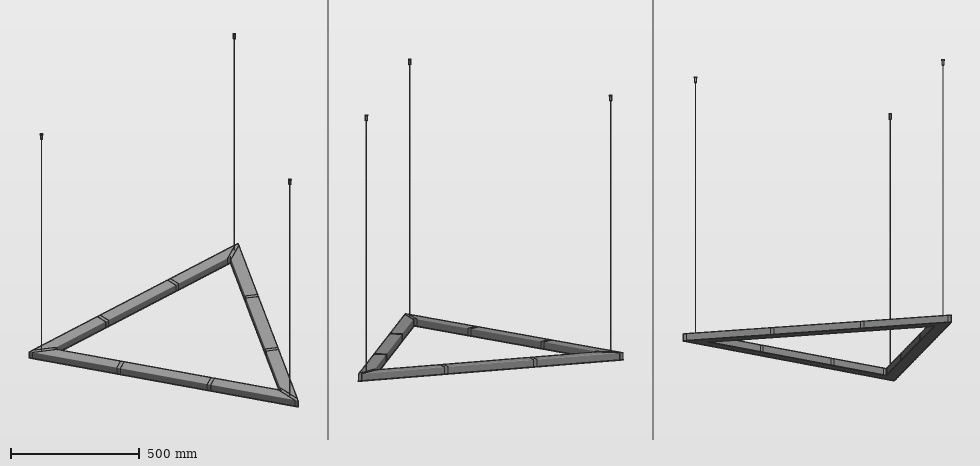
import cadquery as cq
import math

side_length = 1100.0
beam_width = 50.0
frame_height = 27.5
frame_edge_radius = 1.8
diffuser_thickness = 2.5

groove_width = 14.5
groove_depth = 0.2
beam_groove_offset = 184.6

overall_height = 1053.0
wire_diameter = 1.2
wire_corner_distance = 49.9
flange_diameter = 11.0
flange_height = 2.0
anchor_diameter = 9.0
anchor_body_height = 19.0
neck_diameter = 4.0
neck_height = 2.0

inradius = side_length * math.sqrt(3) / 6
corner_radius = 2 * inradius
ring_top = diffuser_thickness + frame_height
anchor_bottom = overall_height - flange_height - anchor_body_height - neck_height
wire_position_radius = corner_radius - wire_corner_distance
corner_angles = (0, 120, 240)
beam_angles = (60, 180, 300)


def polar_point(radius, angle):
    """Return the XY point at a radius and an angle in degrees about the Z axis."""
    return radius * math.cos(math.radians(angle)), radius * math.sin(math.radians(angle))


def make_triangle(face_distance, bottom, height):
    """Make a triangular prism whose sides lie at face_distance from the Z axis."""
    corners = [polar_point(2 * face_distance, angle) for angle in corner_angles]
    return cq.Workplane("XY", origin=(0, 0, bottom)).polyline(corners).close().extrude(height)


def make_ring(bottom, height, inset=0.0):
    """Make a triangular ring, with both its outer and inner sides moved into the beams by inset."""
    outer = make_triangle(inradius - inset, bottom, height)
    inner = make_triangle(inradius - beam_width + inset, bottom, height)
    return outer.cut(inner)


def make_rounded_ring(inset):
    """Make the frame ring, shrunk by inset on its top and sides, with rounded top edges."""
    ring = make_ring(diffuser_thickness, frame_height - inset, inset)
    return ring.faces(">Z").edges().fillet(frame_edge_radius)


def make_groove_block(radius, offset, length, angle):
    """Make a block across the ring; its centre is at (radius, offset) before turning by angle."""
    block = cq.Workplane("XY", origin=(radius, offset, diffuser_thickness))
    block = block.box(length, groove_width, 2 * frame_height, centered=(True, True, False))
    return block.rotate((0, 0, 0), (0, 0, 1), angle)


def make_frame():
    """Make the frame ring with a groove along each mitre and two grooves across each beam."""
    frame = make_rounded_ring(0.0)
    for angle in corner_angles:
        frame = frame.cut(make_groove_block(corner_radius - beam_width, 0.0, 3 * beam_width, angle))
    for angle in beam_angles:
        for offset in (-beam_groove_offset, beam_groove_offset):
            frame = frame.cut(make_groove_block(inradius - beam_width / 2, offset, 2 * beam_width, angle))
    return frame.union(make_rounded_ring(groove_depth))


def make_wire(x, y):
    """Make a wire from the top of the frame to the underside of its anchor."""
    wire = cq.Workplane("XY", origin=(x, y, ring_top - groove_depth)).circle(wire_diameter / 2)
    return wire.extrude(anchor_bottom - ring_top + groove_depth)


def make_anchor(x, y):
    """Make a ceiling anchor: a thin neck, a cylindrical body and a wider top flange."""
    anchor = cq.Workplane("XY", origin=(x, y, anchor_bottom)).circle(neck_diameter / 2).extrude(neck_height)
    anchor = anchor.faces(">Z").workplane().circle(anchor_diameter / 2).extrude(anchor_body_height)
    return anchor.faces(">Z").workplane().circle(flange_diameter / 2).extrude(flange_height)


diffuser = make_ring(0.0, diffuser_thickness).solids()
frame = make_frame().solids()
wires = []
anchors = []
for corner_angle in corner_angles:
    x, y = polar_point(wire_position_radius, corner_angle)
    wires.append(make_wire(x, y).solids().val())
    anchors.append(make_anchor(x, y).solids().val())

result = cq.Compound.makeCompound([diffuser.val(), frame.val(), *wires, *anchors])